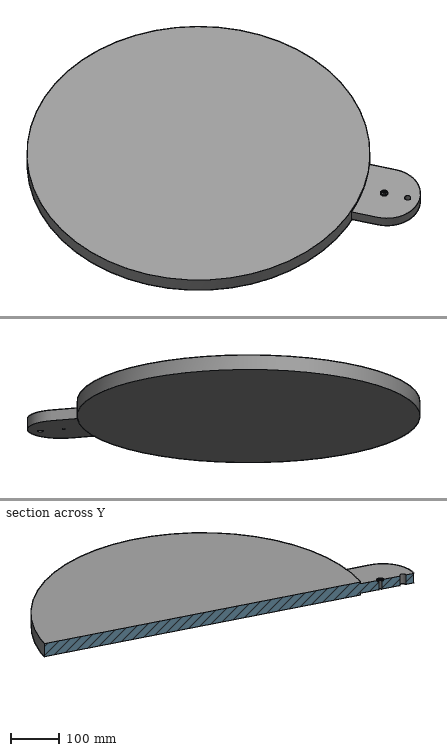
import cadquery as cq

overall_length = 834.0
disc_diameter = 714.0
disc_thickness = 32.0
tab_width = 139.0
tab_thickness = 23.0

end_hole_diameter = 12.5
end_hole_from_tip = 25.0

stepped_hole_from_tip = 76.0
stepped_hole_steps = [
    (16.0, 1.0),
    (12.5, 3.0),
    (6.0, tab_thickness),
]

disc_radius = disc_diameter / 2
tab_radius = tab_width / 2
tab_tip_x = overall_length - disc_radius
tab_arc_x = tab_tip_x - tab_radius
tab_top_z = tab_thickness / 2


def make_disc():
    """Round plate centred on the origin."""
    return cq.Workplane("XY").circle(disc_radius).extrude(disc_thickness / 2, both=True)


def make_tab():
    """Round-ended tab at mid thickness, rooted inside the disc."""
    return (
        cq.Workplane("XY")
        .moveTo(0, -tab_radius)
        .lineTo(tab_arc_x, -tab_radius)
        .threePointArc((tab_tip_x, 0), (tab_arc_x, tab_radius))
        .lineTo(0, tab_radius)
        .close()
        .extrude(tab_thickness / 2, both=True)
    )


def hole_cutter(distance_from_tip, diameter, depth):
    """Cylinder reaching down from the tab's top face."""
    return (
        cq.Workplane("XY", origin=(tab_tip_x - distance_from_tip, 0, tab_top_z))
        .circle(diameter / 2)
        .extrude(-depth)
    )


result = make_disc().union(make_tab())
result = result.cut(hole_cutter(end_hole_from_tip, end_hole_diameter, tab_thickness))
for step_diameter, step_depth in stepped_hole_steps:
    result = result.cut(hole_cutter(stepped_hole_from_tip, step_diameter, step_depth))